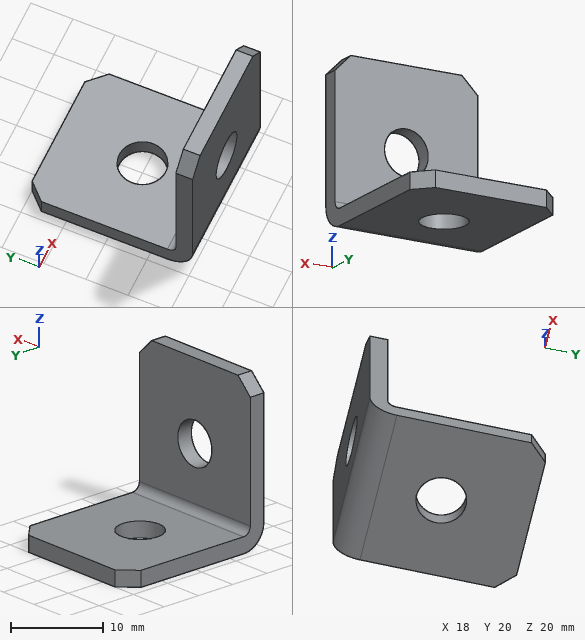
import cadquery as cq

width = 18.0
leg_length = 20.0
thickness = 2.0
inner_bend_radius = 1.0
corner_chamfer = 2.0
hole_diameter = 5.5
hole_distance = 10.0

outer_bend_radius = inner_bend_radius + thickness


def bent_sheet():
    """L-shaped sheet: one leg flat on Z = 0, one upright on Y = 0."""
    blank = cq.Workplane("XY").box(width, leg_length, leg_length, centered=(True, False, False))
    inside = (
        cq.Workplane("XY")
        .box(width, leg_length, leg_length, centered=(True, False, False))
        .translate((0, thickness, thickness))
        .edges("|X and <Y and <Z")
        .fillet(inner_bend_radius)
    )
    return blank.edges("|X and <Y and <Z").fillet(outer_bend_radius).cut(inside)


def leg_hole(plane, direction):
    """Round cutter through one leg, on the middle of the width."""
    return (
        cq.Workplane(plane)
        .center(0, hole_distance)
        .circle(hole_diameter / 2)
        .extrude(direction * thickness)
    )


bracket = bent_sheet()

bracket = bracket.faces(">Z").edges("|Y").chamfer(corner_chamfer)
bracket = bracket.faces(">Y").edges("|Z").chamfer(corner_chamfer)

result = bracket.cut(leg_hole("XY", 1)).cut(leg_hole("XZ", -1))